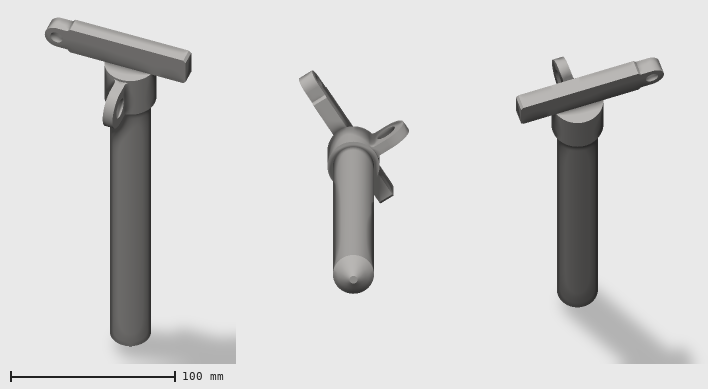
import cadquery as cq

total_height = 257.5

pin_diameter = 25.0
tip_height = 10.0
collar_diameter = 31.7
collar_height = 28.5

handle_height = 19.0
handle_thickness = 9.5
handle_right = 37.9
handle_length = 92.0
handle_corner = 1.5
eye_radius = 7.7
eye_hole_diameter = 8.0
shoulder_run = 1.5
shoulder_offset = 15.0

lug_thickness = 6.5
lug_radius = 12.5
lug_hole_diameter = 12.5
overall_depth = 54.0
lug_reach = overall_depth - collar_diameter / 2
lug_root_fillet = 3.0

collar_top = total_height - handle_height
collar_bottom = collar_top - collar_height
collar_middle = (collar_top + collar_bottom) / 2
handle_middle = collar_top + handle_height / 2


def make_pin():
    """Round pin with a 45 degree conical tip ending in a small flat."""
    pin = cq.Workplane("XY").circle(pin_diameter / 2).extrude(collar_bottom)
    return pin.faces("<Z").chamfer(tip_height)


def make_collar_with_lug():
    """Collar with a rounded, drilled lug blended into its front."""
    collar = (
        cq.Workplane("XY", origin=(0, 0, collar_bottom))
        .circle(collar_diameter / 2)
        .extrude(collar_height)
    )
    eye_y = lug_radius - lug_reach
    lug = (
        cq.Workplane("YZ", origin=(-lug_thickness / 2, 0, collar_middle))
        .moveTo(0, lug_radius)
        .lineTo(eye_y, lug_radius)
        .threePointArc((-lug_reach, 0), (eye_y, -lug_radius))
        .lineTo(0, -lug_radius)
        .close()
        .extrude(lug_thickness)
    )
    lug_hole = (
        cq.Workplane("YZ", origin=(-lug_thickness / 2, 0, collar_middle))
        .center(eye_y, 0)
        .circle(lug_hole_diameter / 2)
        .extrude(lug_thickness)
    )
    root_zone = cq.selectors.BoxSelector(
        (-lug_thickness, -collar_diameter / 2, collar_bottom),
        (lug_thickness, -collar_diameter / 4, collar_top),
    )
    body = collar.union(lug)
    body = body.edges("|Z").edges(root_zone).fillet(lug_root_fillet)
    return body.cut(lug_hole)


def make_handle():
    """Flat bar with a drilled round eye at its left end."""
    left = handle_right - handle_length
    eye_x = left + eye_radius
    shoulder_x = left + shoulder_offset
    half_height = handle_height / 2
    bar = (
        cq.Workplane("XZ", origin=(0, handle_thickness / 2, handle_middle))
        .moveTo(eye_x, eye_radius)
        .lineTo(shoulder_x, eye_radius)
        .lineTo(shoulder_x + shoulder_run, half_height)
        .lineTo(handle_right, half_height)
        .lineTo(handle_right, -half_height)
        .lineTo(shoulder_x + shoulder_run, -half_height)
        .lineTo(shoulder_x, -eye_radius)
        .lineTo(eye_x, -eye_radius)
        .threePointArc((left, 0), (eye_x, eye_radius))
        .close()
        .extrude(handle_thickness)
    )
    bar = bar.edges("|Y and >X").chamfer(handle_corner)
    eye_hole = (
        cq.Workplane("XZ", origin=(eye_x, handle_thickness / 2, handle_middle))
        .circle(eye_hole_diameter / 2)
        .extrude(handle_thickness)
    )
    return bar.cut(eye_hole)


result = make_pin().union(make_collar_with_lug()).union(make_handle())